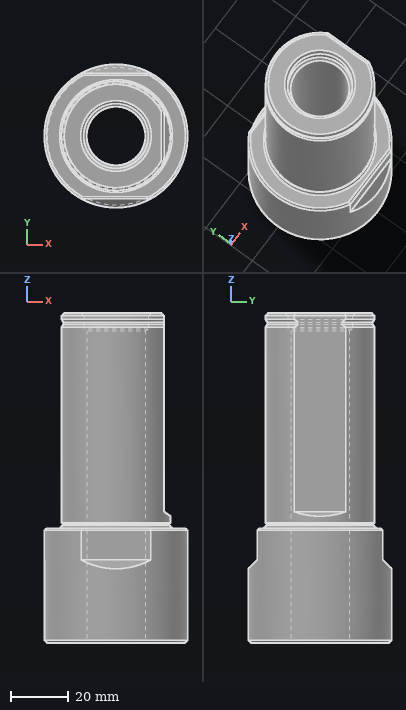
import cadquery as cq
import math

total_height = 115.0
edge_chamfer = 1.0

collar_radius = 50.0 / 2
collar_top = 40.0
collar_seam = 17.5
collar_top_chamfer = 0.8

tube_radius = 38.1 / 2

undercut_radius = 18.6
undercut_foot_radius = 19.7
undercut_floor_height = 0.5
undercut_upper_cone = 0.5

groove_bottom_lip = total_height - 5.1
groove_width = 2.9
groove_floor_width = 0.8
groove_depth = 0.6

wrench_flat_span = 43.8
wrench_flat_bottom = 29.0

tube_flat_x = 16.8
tube_flat_bottom = 45.8
tube_flat_runout_angle = 35.0

bore_radius = 20.4 / 2
counterbore_radius = 22.5 / 2
counterbore_depth = 5.5
counterbore_floor_angle = 30.0


def make_lower_body():
    """Lower collar half, up to the joint line."""
    return (
        cq.Workplane("XY")
        .circle(collar_radius)
        .extrude(collar_seam)
        .faces("<Z")
        .edges()
        .chamfer(edge_chamfer)
    )


def make_upper_body():
    """Upper collar half with the undercut foot and the tube, turned about Z."""
    foot_cone_top = collar_top + undercut_foot_radius - undercut_radius
    undercut_floor_top = foot_cone_top + undercut_floor_height
    profile = [
        (0, collar_seam),
        (collar_radius, collar_seam),
        (collar_radius, collar_top - collar_top_chamfer),
        (collar_radius - collar_top_chamfer, collar_top),
        (undercut_foot_radius, collar_top),
        (undercut_radius, foot_cone_top),
        (undercut_radius, undercut_floor_top),
        (tube_radius, undercut_floor_top + undercut_upper_cone),
        (tube_radius, total_height),
        (0, total_height),
    ]
    return cq.Workplane("XZ").polyline(profile).close().revolve(360, (0, 0), (0, 1))


def make_wrench_flat_cutter():
    """Cutter for the -Y wrench flat: chamfered top edge, lower end running out at 45 degrees."""
    flat_y = wrench_flat_span / 2
    depth = collar_radius - flat_y
    profile = [
        (collar_top_chamfer - flat_y, collar_top),
        (-flat_y, collar_top - collar_top_chamfer),
        (-flat_y, wrench_flat_bottom),
        (-collar_radius, wrench_flat_bottom - depth),
        (-collar_radius, collar_top),
    ]
    return cq.Workplane("YZ").polyline(profile).close().extrude(collar_radius, both=True)


def make_tube_flat_cutter():
    """Cutter for the tube flat, whose lower end slopes out to the tube wall."""
    runout = (tube_radius - tube_flat_x) * math.tan(math.radians(tube_flat_runout_angle))
    profile = [
        (tube_flat_x, total_height),
        (tube_flat_x, tube_flat_bottom),
        (tube_radius, tube_flat_bottom - runout),
        (tube_radius, total_height),
    ]
    return cq.Workplane("XZ").polyline(profile).close().extrude(tube_radius, both=True)


def make_groove_cutter():
    """Ring with sloped sides that cuts the groove near the tube top."""
    side_width = (groove_width - groove_floor_width) / 2
    floor_radius = tube_radius - groove_depth
    groove_top_lip = groove_bottom_lip + groove_width
    profile = [
        (tube_radius, groove_bottom_lip),
        (floor_radius, groove_bottom_lip + side_width),
        (floor_radius, groove_top_lip - side_width),
        (tube_radius, groove_top_lip),
    ]
    return cq.Workplane("XZ").polyline(profile).close().revolve(360, (0, 0), (0, 1))


def make_bore_cutter():
    """Through bore with a coned counterbore and a chamfered mouth at the top."""
    counterbore_floor = total_height - counterbore_depth
    cone_drop = (counterbore_radius - bore_radius) * math.tan(math.radians(counterbore_floor_angle))
    profile = [
        (0, 0),
        (bore_radius, 0),
        (bore_radius, counterbore_floor - cone_drop),
        (counterbore_radius, counterbore_floor),
        (counterbore_radius, total_height - edge_chamfer),
        (counterbore_radius + edge_chamfer, total_height),
        (0, total_height),
    ]
    return cq.Workplane("XZ").polyline(profile).close().revolve(360, (0, 0), (0, 1))


upper_body = make_upper_body().cut(make_tube_flat_cutter())
upper_body = upper_body.faces(">Z").edges().chamfer(edge_chamfer)
upper_body = upper_body.cut(make_groove_cutter())

wrench_flat_cutter = make_wrench_flat_cutter()
upper_body = upper_body.cut(wrench_flat_cutter)
upper_body = upper_body.cut(wrench_flat_cutter.mirror("XZ"))

result = make_lower_body().union(upper_body, clean=False)
result = result.cut(make_bore_cutter(), clean=False)